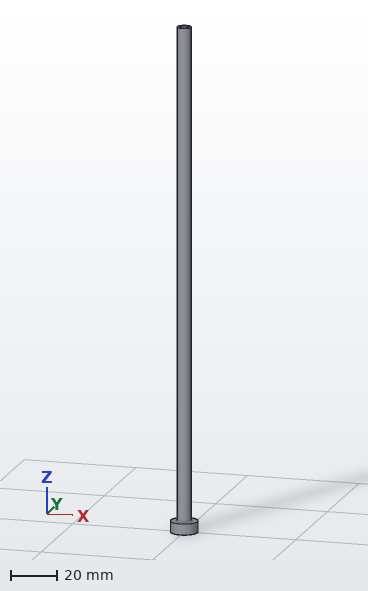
import cadquery as cq

total_length = 225.0
head_diameter = 12.0
head_height = 5.0
tube_diameter = 6.0
bore_diameter = 3.5
neck_fillet = 0.5

head_radius = head_diameter / 2
tube_radius = tube_diameter / 2
bore_radius = bore_diameter / 2

half_section = (
    cq.Workplane("XZ")
    .moveTo(-bore_radius, 0)
    .lineTo(-head_radius, 0)
    .lineTo(-head_radius, head_height)
    .lineTo(-tube_radius - neck_fillet, head_height)
    .radiusArc((-tube_radius, head_height + neck_fillet), -neck_fillet)
    .lineTo(-tube_radius, total_length)
    .lineTo(-bore_radius, total_length)
    .close()
)

result = half_section.revolve(360, (0, 0), (0, 1))